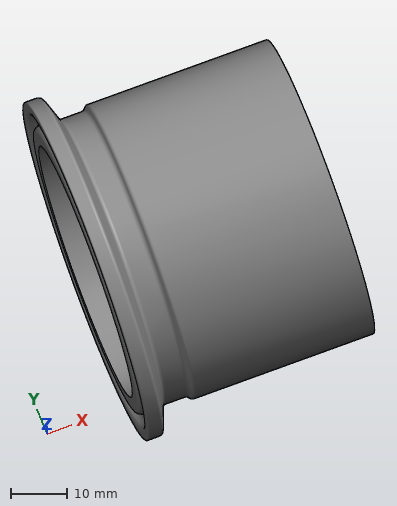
import cadquery as cq
import math

length = 44.5
bore_radius = 23.75
body_radius = 27.85
neck_radius = 27.0

flange_radius = 32.0
face_edge_radius = 0.2
rim_end = 2.4
rim_radius = 0.7
root_radius = 0.9
taper_angle = 20.0

shoulder_start = 9.0
shoulder_root_radius = 1.0
shoulder_crest_radius = 0.8

groove_centre = 28.3
groove_depth = 1.6
groove_half_width = 2.0
groove_floor_radius = 1.1
groove_lip_radius = 0.8
groove_wall_angle = 70.0


def add_arc(path, centre, radius, start, end, joined=False):
    """Add an arc between two angles (degrees from +X), after a line to its start unless joined."""
    def at(angle):
        a = math.radians(angle)
        return centre[0] + radius * math.cos(a), centre[1] + radius * math.sin(a)

    if not joined:
        path = path.lineTo(*at(start))
    return path.threePointArc(at((start + end) / 2), at(end))


def revolve_about_x(path):
    return path.close().revolve(360, (0, 0, 0), (1, 0, 0))


def make_ferrule():
    taper = math.radians(taper_angle)
    rim_centre = (rim_end, flange_radius - rim_radius)
    root_height = neck_radius + root_radius
    root_x = (
        rim_end
        + (rim_radius + root_radius) / math.cos(taper)
        + (rim_centre[1] - root_height) * math.tan(taper)
    )
    root_centre = (root_x, root_height)

    radius_sum = shoulder_root_radius + shoulder_crest_radius
    turn = math.acos(1 - (body_radius - neck_radius) / radius_sum)
    turn_degrees = math.degrees(turn)
    shoulder_root = (shoulder_start, neck_radius + shoulder_root_radius)
    shoulder_crest = (
        shoulder_start + radius_sum * math.sin(turn),
        body_radius - shoulder_crest_radius,
    )
    face_edge = (face_edge_radius, flange_radius - face_edge_radius)

    path = cq.Workplane("XZ").moveTo(0, bore_radius)
    path = add_arc(path, face_edge, face_edge_radius, 180, 90)
    path = add_arc(path, rim_centre, rim_radius, 90, taper_angle)
    path = add_arc(path, root_centre, root_radius, 180 + taper_angle, 270)
    path = add_arc(path, shoulder_root, shoulder_root_radius, 270, 270 + turn_degrees)
    path = add_arc(path, shoulder_crest, shoulder_crest_radius, 90 + turn_degrees, 90, joined=True)
    path = path.lineTo(length, body_radius).lineTo(length, bore_radius)
    return revolve_about_x(path)


def make_groove():
    inner_lip = (groove_lip_radius, groove_centre - groove_half_width)
    outer_lip = (groove_lip_radius, groove_centre + groove_half_width)
    floor = (groove_depth - groove_floor_radius, groove_centre)

    path = cq.Workplane("XZ").moveTo(0, inner_lip[1])
    path = add_arc(path, inner_lip, groove_lip_radius, 180, 180 - groove_wall_angle, joined=True)
    path = add_arc(path, floor, groove_floor_radius, -groove_wall_angle, groove_wall_angle)
    path = add_arc(path, outer_lip, groove_lip_radius, 180 + groove_wall_angle, 180)
    return revolve_about_x(path)


result = make_ferrule().cut(make_groove())